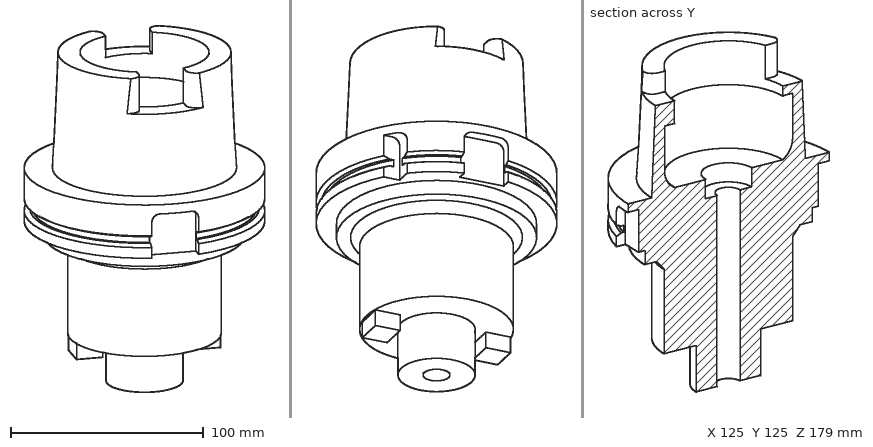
import cadquery as cq
import math

total_height = 179.0
driver_key_bottom = 17.2
body_bottom = 26.1
cone_bottom = 73.7
collar_bottom = 79.1
flange_bottom = 87.0
flange_top = 116.0

spigot_radius = 20.0
body_radius = 40.0
cone_top_radius = 44.5
collar_radius = 51.9
flange_radius = 62.5
taper_base_radius = 47.8
taper_top_radius = 45.0

groove_floor_radius = 58.2
groove_lip_bottom = 92.7
groove_bottom = 94.2
groove_top = 98.0
groove_lip_top = 99.2
groove_lower_step_radius = 59.6
groove_upper_step_radius = 60.0

mouth_radius = 33.5
mouth_bottom = 154.3
cavity_radius = 39.5
cavity_wall_bottom = 129.2
cavity_curve_radius = 12.5
counterbore_radius = 14.1
counterbore_depth = 10.7
bore_radius = 7.0

slot_width = 25.0
near_slot_depth = 11.6
far_slot_depth = 19.0
lug_end_distance = 41.0
lug_corner_radius = 5.5

keyway_floor_distance = 55.7
flange_cut_top = 111.0
flange_cut_corner_radius = 4.3
notch_offset = 39.4
flange_cut_reach = flange_radius + 1.8

driver_key_width = 16.1
driver_key_inner = 24.5
driver_key_outer = 38.7


def make_outer_body():
    """Revolve the outer outline about Z as one solid."""
    outline = [
        (0, 0),
        (spigot_radius, 0),
        (spigot_radius, body_bottom),
        (body_radius, body_bottom),
        (body_radius, cone_bottom),
        (cone_top_radius, collar_bottom),
        (collar_radius, collar_bottom),
        (collar_radius, flange_bottom),
        (flange_radius, flange_bottom),
        (flange_radius, groove_lip_bottom),
        (groove_lower_step_radius, groove_bottom),
        (groove_floor_radius, groove_bottom),
        (groove_floor_radius, groove_top),
        (groove_upper_step_radius, groove_top),
        (flange_radius, groove_lip_top),
        (flange_radius, flange_top),
        (taper_base_radius, flange_top),
        (taper_top_radius, total_height),
        (0, total_height),
    ]
    return cq.Workplane("XZ").polyline(outline).close().revolve(360, (0, 0), (0, 1))


def make_cavity():
    """Undercut clamping cavity with a rounded foot, counterbore and through bore."""
    curve_center_r = cavity_radius - cavity_curve_radius
    curve_end_angle = math.acos((mouth_radius - curve_center_r) / cavity_curve_radius)
    cavity_floor = cavity_wall_bottom - cavity_curve_radius * math.sin(curve_end_angle)
    curve_middle = (
        curve_center_r + cavity_curve_radius * math.cos(curve_end_angle / 2),
        cavity_wall_bottom - cavity_curve_radius * math.sin(curve_end_angle / 2),
    )
    counterbore_floor = cavity_floor - counterbore_depth
    return (
        cq.Workplane("XZ")
        .moveTo(0, 0)
        .lineTo(bore_radius, 0)
        .lineTo(bore_radius, counterbore_floor)
        .lineTo(counterbore_radius, counterbore_floor)
        .lineTo(counterbore_radius, cavity_floor)
        .lineTo(mouth_radius, cavity_floor)
        .threePointArc(curve_middle, (cavity_radius, cavity_wall_bottom))
        .lineTo(cavity_radius, mouth_bottom)
        .lineTo(mouth_radius, mouth_bottom)
        .lineTo(mouth_radius, total_height)
        .lineTo(0, total_height)
        .close()
        .revolve(360, (0, 0), (0, 1))
    )


def make_drive_slot(side, depth):
    """Rim slot that widens outside the lug ends, with an arc rounding each lug corner."""
    half_width = slot_width / 2
    outer_half_width = taper_base_radius
    arc_start_x = lug_end_distance - lug_corner_radius
    arc_middle_x = arc_start_x + lug_corner_radius * math.sin(math.pi / 4)
    arc_end_y = half_width + lug_corner_radius
    arc_middle_y = arc_end_y - lug_corner_radius * math.cos(math.pi / 4)
    return (
        cq.Workplane("XY", origin=(0, 0, total_height - depth))
        .moveTo(0, -half_width)
        .lineTo(side * arc_start_x, -half_width)
        .threePointArc((side * arc_middle_x, -arc_middle_y), (side * lug_end_distance, -arc_end_y))
        .lineTo(side * lug_end_distance, -outer_half_width)
        .lineTo(side * taper_base_radius, -outer_half_width)
        .lineTo(side * taper_base_radius, outer_half_width)
        .lineTo(side * lug_end_distance, outer_half_width)
        .lineTo(side * lug_end_distance, arc_end_y)
        .threePointArc((side * arc_middle_x, arc_middle_y), (side * arc_start_x, half_width))
        .lineTo(0, half_width)
        .close()
        .extrude(depth)
    )


def make_flange_cut(x_inner, x_outer, y_min, y_max):
    """Block through the flange underside with rounded upper corners."""
    return (
        cq.Workplane("XY")
        .box(abs(x_outer - x_inner), y_max - y_min, flange_cut_top - flange_bottom, centered=False)
        .translate((min(x_inner, x_outer), y_min, flange_bottom))
        .edges("|X and >Z")
        .fillet(flange_cut_corner_radius)
    )


def make_driver_key(side):
    """Rectangular key under the body, on the +Y or -Y side."""
    length = driver_key_outer - driver_key_inner
    middle = side * (driver_key_inner + driver_key_outer) / 2
    height = body_bottom - driver_key_bottom
    return (
        cq.Workplane("XY", origin=(0, middle, driver_key_bottom))
        .rect(driver_key_width, length)
        .extrude(height)
    )


result = make_outer_body().cut(make_cavity())

for side, depth in ((-1, near_slot_depth), (1, far_slot_depth)):
    result = result.cut(make_drive_slot(side, depth))

for side in (-1, 1):
    keyway = make_flange_cut(
        side * keyway_floor_distance, side * flange_cut_reach, -slot_width / 2, slot_width / 2
    )
    result = result.cut(keyway)

notch = make_flange_cut(-notch_offset, -flange_cut_reach, notch_offset, flange_cut_reach)
result = result.cut(notch)

for side in (-1, 1):
    result = result.union(make_driver_key(side))